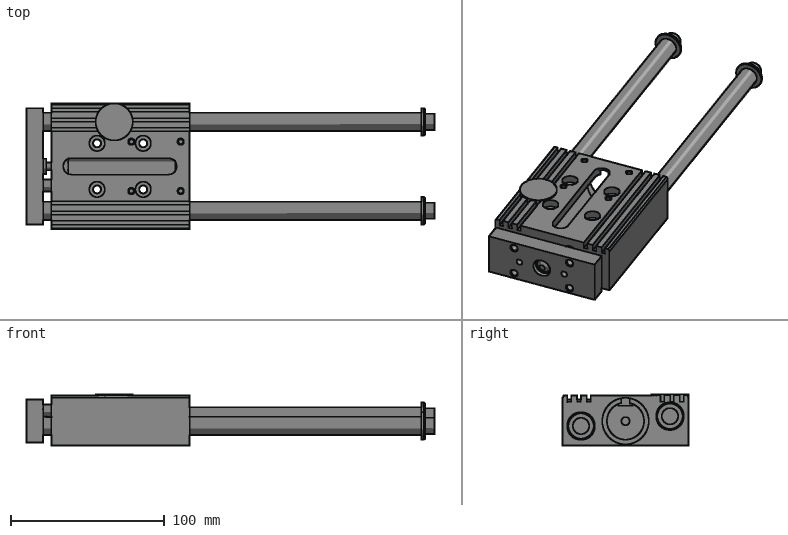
import cadquery as cq


housing_start = 16.2
housing_end = 106.0
housing_width = 82.0
housing_height = 32.5
total_height = 33.5
axis_height = 16.0

groove_width = 2.5
groove_depth = 4.2
groove_offsets = (23.8, 30.2, 36.5)
bevel_width = 0.8
bevel_depth = 1.5

bore_diameter = 24.0
bore_start = housing_start + 10.9
slot_start = housing_start + 7.7
slot_length = 73.7
slot_width = 10.5
slot_depth = 6.5
end_recess_diameter = 30.2
end_recess_overlap = 0.8
end_recess_start = slot_start + slot_length - end_recess_overlap

mount_first_x = housing_start + 29.7
mount_spacing = 30.0
mount_diameter = 5.0
counterbore_diameter = 10.0
counterbore_depth = 5.0

tapped_first_x = housing_start + 52.0
tapped_spacing = 32.0
tapped_diameter = 3.2
tapped_mouth_diameter = 4.2
tapped_depth = 6.5

cover_diameter = 24.0
cover_x = housing_start + 40.8
cover_y = 29.0
cover_thickness = total_height - housing_height + groove_depth

slide_length = 265.0
plate_thickness = 10.9
plate_width = 75.8
plate_height = 28.0

rod_diameter = 12.0
rod_offset_y = 29.0
rod_offset_z = 3.2
collar_diameter = 18.0
collar_start = 256.5
collar_thickness = 2.5
collar_chamfer = 0.8
tip_diameter = 10.5

piston_rod_diameter = 5.3
flange_diameter = 10.0
flange_thickness = 2.0
pin_diameter = 8.0
pin_y = -12.5
pin_height = 22.8

screw_diameter = 4.2
screw_mouth_diameter = 5.3
screw_spacing_y = 39.8
screw_spacing_z = 20.0
dowel_diameter = 4.0
dowel_spacing = 32.0
recess_diameter = 12.0
recess_depth = 3.2
head_diameter = 9.5
head_tip_diameter = 4.0
head_height = 2.6

rod_centers = [(side * rod_offset_y, axis_height + side * rod_offset_z) for side in (-1, 1)]


def box(x_start, x_end, y_center, width, z_bottom, z_top):
    """A block given by its X range, its Y centre and width, and its Z range."""
    return cq.Workplane("XY").box(
        x_end - x_start, width, z_top - z_bottom, centered=(False, True, False)
    ).translate((x_start, y_center, z_bottom))


def cylinder_x(diameter, x_start, x_end, centers):
    """Cylinders along X at each (y, z) centre."""
    plane = cq.Workplane("YZ", origin=(x_start, 0, 0))
    return plane.pushPoints(centers).circle(diameter / 2).extrude(x_end - x_start)


def cone_x(start_diameter, end_diameter, x_start, x_end, centers):
    """Cone frustums along X at each (y, z) centre."""
    frustums = cq.Workplane("XY")
    for y, z in centers:
        frustums = frustums.add(cq.Solid.makeCone(
            start_diameter / 2, end_diameter / 2, x_end - x_start,
            cq.Vector(x_start, y, z), cq.Vector(1, 0, 0)))
    return frustums.combine()


def cylinder_down(diameter, z_top, depth, centers):
    """Cylinders reaching downward from a height at each (x, y) centre."""
    plane = cq.Workplane("XY", origin=(0, 0, z_top))
    return plane.pushPoints(centers).circle(diameter / 2).extrude(-depth)


def hole_grid(first_x, spacing):
    """Four (x, y) centres, symmetric about the X axis."""
    return [(first_x + i * spacing, side * spacing / 2) for i in (0, 1) for side in (-1, 1)]


def cut_profile(block):
    for side in (-1, 1):
        for offset in groove_offsets:
            block = block.cut(box(housing_start, housing_end, side * offset, groove_width,
                                  housing_height - groove_depth, housing_height))
        outer_y = side * housing_width / 2
        bevel = (cq.Workplane("YZ", origin=(housing_start, 0, 0))
                 .moveTo(outer_y, housing_height).lineTo(outer_y - side * bevel_width, housing_height)
                 .lineTo(outer_y, housing_height - bevel_depth).close()
                 .extrude(housing_end - housing_start))
        block = block.cut(bevel)
    return block


def cut_bore_and_slot(block):
    block = block.cut(cylinder_x(bore_diameter, bore_start, housing_end, [(0, axis_height)]))
    block = block.cut(cylinder_x(end_recess_diameter, end_recess_start, housing_end, [(0, axis_height)]))
    slot = (cq.Workplane("XY", origin=(slot_start + slot_length / 2, 0, housing_height))
            .slot2D(slot_length, slot_width).extrude(-slot_depth))
    return block.cut(slot)


def cut_top_holes(block):
    mounts = hole_grid(mount_first_x, mount_spacing)
    block = block.cut(cylinder_down(mount_diameter, housing_height, housing_height, mounts))
    block = block.cut(cylinder_down(counterbore_diameter, housing_height, counterbore_depth, mounts))
    tapped = hole_grid(tapped_first_x, tapped_spacing)
    block = block.cut(cylinder_down(tapped_diameter, housing_height, tapped_depth, tapped))
    mouth_depth = (tapped_mouth_diameter - tapped_diameter) / 2
    for x, y in tapped:
        mouth = cq.Solid.makeCone(tapped_mouth_diameter / 2, tapped_diameter / 2, mouth_depth,
                                  cq.Vector(x, y, housing_height), cq.Vector(0, 0, -1))
        block = block.cut(cq.Workplane(mouth))
    return block


def make_housing():
    block = box(housing_start, housing_end, 0, housing_width, 0, housing_height)
    block = cut_profile(block)
    block = cut_bore_and_slot(block)
    block = cut_top_holes(block)
    block = block.cut(cylinder_x(rod_diameter, housing_start, housing_end, rod_centers))
    block = block.cut(cylinder_x(piston_rod_diameter, housing_start, bore_start, [(0, axis_height)]))
    cover = cylinder_down(cover_diameter, total_height, cover_thickness, [(cover_x, cover_y)])
    return block.union(cover)


def make_plate():
    plate = box(0, plate_thickness, 0, plate_width,
                axis_height - plate_height / 2, axis_height + plate_height / 2)
    screws = [(y * screw_spacing_y / 2, axis_height + z * screw_spacing_z / 2)
              for y in (-1, 1) for z in (-1, 1)]
    plate = plate.cut(cylinder_x(screw_diameter, 0, plate_thickness, screws))
    mouth_depth = (screw_mouth_diameter - screw_diameter) / 2
    plate = plate.cut(cone_x(screw_mouth_diameter, screw_diameter, 0, mouth_depth, screws))
    dowels = [(side * dowel_spacing / 2, axis_height) for side in (-1, 1)]
    plate = plate.cut(cylinder_x(dowel_diameter, 0, plate_thickness, dowels))
    return plate.cut(cylinder_x(recess_diameter, 0, recess_depth, [(0, axis_height)]))


def make_rod_head():
    """Tapered end of the piston rod, standing on the floor of the plate recess."""
    return cone_x(head_tip_diameter, head_diameter, recess_depth - head_height, recess_depth,
                  [(0, axis_height)])


def make_slide():
    slide = make_plate().union(make_rod_head())
    axis = [(0, axis_height)]
    flange_end = plate_thickness + flange_thickness
    slide = slide.union(cylinder_x(flange_diameter, plate_thickness, flange_end, axis))
    slide = slide.union(cylinder_x(piston_rod_diameter, plate_thickness, bore_start, axis))
    slide = slide.union(cylinder_x(pin_diameter, plate_thickness, housing_start, [(pin_y, pin_height)]))
    collar_end = collar_start + collar_thickness
    collars = cylinder_x(collar_diameter, collar_start, collar_end, rod_centers)
    slide = slide.union(cylinder_x(rod_diameter, plate_thickness, collar_end, rod_centers))
    slide = slide.union(collars.faces(">X").edges().chamfer(collar_chamfer))
    return slide.union(cylinder_x(tip_diameter, collar_end, slide_length, rod_centers))


housing = make_housing()
slide = make_slide()

result = cq.Compound.makeCompound([housing.solids().val(), slide.solids().val()])